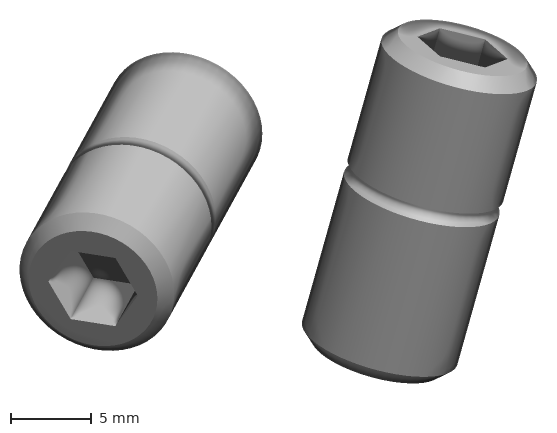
import cadquery as cq
import math

total_length = 21.0
diameter = 10.0
chamfer = 0.85
front_length = 9.0
body_gap = 0.08
hex_across_flats = 5.0
hex_depth = 5.0

hex_across_corners = hex_across_flats / math.cos(math.pi / 6)
rear_length = total_length - front_length - body_gap
front_face_y = -total_length / 2
rear_start_y = front_face_y + front_length + body_gap


def cylinder_along_y(start_y, length):
    """Cylinder on the Y axis, growing toward +Y from start_y."""
    plane = cq.Plane(origin=(0, start_y, 0), xDir=(1, 0, 0), normal=(0, 1, 0))
    return cq.Workplane(plane).circle(diameter / 2).extrude(length)


def make_socket_screw():
    """Front body: chamfered outer end with a blind hexagon socket, flat inner end."""
    body = cylinder_along_y(front_face_y, front_length).faces("<Y").chamfer(chamfer)
    socket_plane = cq.Plane(origin=(0, front_face_y, 0), xDir=(1, 0, 0), normal=(0, 1, 0))
    socket = (
        cq.Workplane(socket_plane)
        .polygon(6, hex_across_corners)
        .extrude(hex_depth)
    )
    return body.cut(socket)


def make_rear_plug():
    """Rear body: plain cylinder chamfered at both ends, separated from the socket screw by a narrow gap."""
    return cylinder_along_y(rear_start_y, rear_length).faces("<Y or >Y").chamfer(chamfer)


socket_screw = make_socket_screw()
rear_plug = make_rear_plug()

result = cq.Compound.makeCompound([socket_screw.val(), rear_plug.val()])